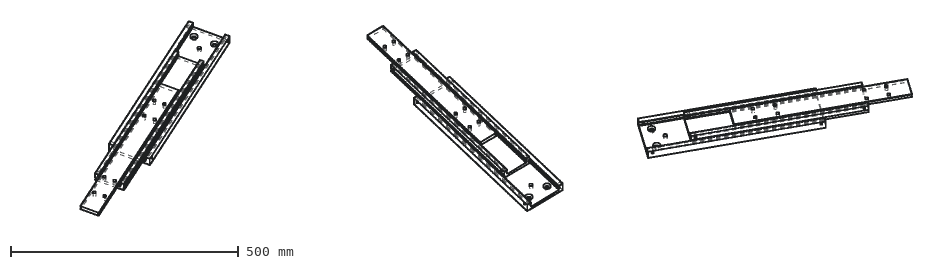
import cadquery as cq

overall_length = 600
extension = overall_length / 6
rail_length = overall_length - 2 * extension

outer_width = 100.0
outer_channel_width = 78.0
running_gap = 3.5
middle_width = outer_channel_width - 2 * running_gap
middle_channel_width = 52.0
inner_width = middle_channel_width - 2 * running_gap

total_height = 32.0
rail_rise = 11.0
outer_height = total_height - rail_rise
outer_floor = 8.0
floor_clearance = 3.0
middle_bottom = outer_floor + floor_clearance
middle_floor_top = outer_floor + rail_rise
inner_bottom = middle_bottom + rail_rise

ball_diameter = 8.0
outer_track_z = 15.0
middle_track_z = outer_track_z + rail_rise

outer_rear = overall_length / 2
middle_rear = outer_rear - extension
inner_rear = middle_rear - extension

stop_hole_diameter = 5.0
stop_hole_inset = 10.0
mount_hole_diameter = 9.0
mount_sink_diameter = 17.0
mount_sink_angle = 90
mount_hole_spacing = 50.5
mount_hole_inset = extension / 4
locating_hole_diameter = 8.0
locating_hole_inset = extension / 2
load_hole_diameter = 6.5
load_hole_spacing = 25.0
load_hole_insets = (extension / 2, extension)


def rail_block(width, bottom, top, rear):
    """Plain bar of one rail's length, centred on X = 0."""
    return (
        cq.Workplane("XY", origin=(0, rear - rail_length / 2, bottom))
        .box(width, rail_length, top - bottom, centered=(True, True, False))
    )


def ball_tracks(gap_outer_width, z, rear):
    """Two long cylinders centred in the side gaps; each cuts an arc groove into both facing walls."""
    track_x = (gap_outer_width - running_gap) / 2
    return (
        cq.Workplane("XZ", origin=(0, rear, z))
        .pushPoints([(-track_x, 0), (track_x, 0)])
        .circle(ball_diameter / 2)
        .extrude(rail_length)
    )


def stop_holes(z, rear):
    """Cross holes through both side walls near each end of a rail."""
    ends = [(rear - stop_hole_inset, z), (rear - rail_length + stop_hole_inset, z)]
    return (
        cq.Workplane("YZ")
        .pushPoints(ends)
        .circle(stop_hole_diameter / 2)
        .extrude(outer_width, both=True)
    )


def make_outer_rail():
    rail = rail_block(outer_width, 0, outer_height, outer_rear)
    rail = rail.cut(rail_block(outer_channel_width, outer_floor, outer_height, outer_rear))
    rail = rail.cut(ball_tracks(outer_channel_width, outer_track_z, outer_rear))
    rail = rail.cut(stop_holes(outer_track_z, outer_rear))
    floor_plane = cq.Workplane("XY", origin=(0, 0, outer_floor))
    mount_y = outer_rear - mount_hole_inset
    rail = (
        rail.copyWorkplane(floor_plane)
        .pushPoints([(side * mount_hole_spacing / 2, mount_y) for side in (-1, 1)])
        .cskHole(mount_hole_diameter, mount_sink_diameter, mount_sink_angle)
    )
    return (
        rail.copyWorkplane(floor_plane)
        .pushPoints([(0, outer_rear - locating_hole_inset)])
        .hole(locating_hole_diameter)
    )


def make_middle_rail():
    rail = rail_block(middle_width, middle_bottom, total_height, middle_rear)
    rail = rail.cut(rail_block(middle_channel_width, middle_floor_top, total_height, middle_rear))
    rail = rail.cut(ball_tracks(outer_channel_width, outer_track_z, middle_rear))
    rail = rail.cut(ball_tracks(middle_channel_width, middle_track_z, middle_rear))
    return rail.cut(stop_holes(middle_track_z, middle_rear))


def make_inner_rail():
    rail = rail_block(inner_width, inner_bottom, total_height, inner_rear)
    rail = rail.cut(ball_tracks(middle_channel_width, middle_track_z, inner_rear))
    inner_front = inner_rear - rail_length
    load_points = [
        (side * load_hole_spacing / 2, y)
        for side in (-1, 1)
        for inset in load_hole_insets
        for y in (inner_rear - inset, inner_front + inset)
    ]
    return (
        rail.copyWorkplane(cq.Workplane("XY", origin=(0, 0, total_height)))
        .pushPoints(load_points)
        .hole(load_hole_diameter)
    )


outer_rail = make_outer_rail()
middle_rail = make_middle_rail()
inner_rail = make_inner_rail()

result = cq.Compound.makeCompound([outer_rail.val(), middle_rail.val(), inner_rail.val()])